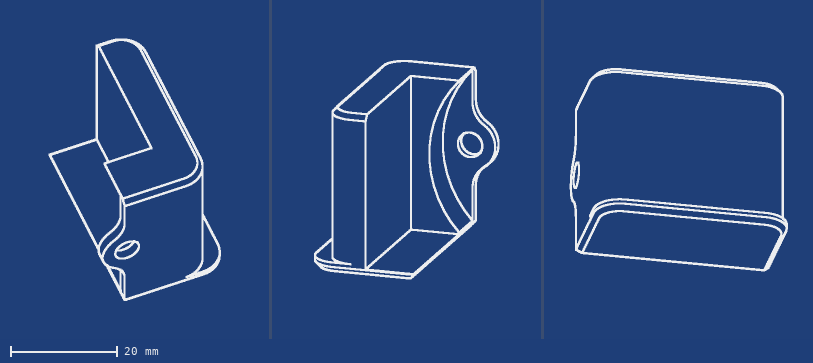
import cadquery as cq
import math

width = 37.0
height = 31.45
body_depth = 17.5
flange_depth = 20.98
flange_thickness = 2.0
corner_radius = 5.0
chamfer_inset = 1.0
chamfer_height = 1.1

pocket_width = 27.0
pocket_depth = 9.55
pocket_floor = 1.25

wall_thickness = 2.05
recess_depth = 5.92
recess_half_height = 14.87

lug_radius = 5.0
lug_center_y = 0.5
lug_center_z = 16.45
lug_blend_radius = 5.0
hole_diameter = 4.8


def rounded_slab(front, rear, slab_height):
    """Slab from Z = 0 to slab_height with its two rear corners rounded."""
    slab = cq.Workplane("XY", origin=(0, front, 0)).box(width, rear - front, slab_height, centered=False)
    return slab.edges("|Z and >Y").fillet(corner_radius)


def beveled_slab(front, rear, slab_height):
    """Rounded slab whose whole top rim is beveled, taller than it is wide."""
    straight = rounded_slab(front, rear, slab_height - chamfer_height)
    taper = math.degrees(math.atan2(chamfer_inset, chamfer_height))
    rim = straight.faces(">Z").wires().toPending().workplane()
    bevel = rim.extrude(chamfer_height, taper=taper, combine=False)
    return straight.union(bevel)


def make_body():
    """Block rising from a wider flange, beveled on its top; the flange is beveled below."""
    block = beveled_slab(-chamfer_inset, body_depth, height)
    trim = cq.Workplane("XY").box(width, body_depth, height - flange_thickness, centered=False)
    block = block.intersect(trim.translate((0, 0, flange_thickness)))
    flange = beveled_slab(0, flange_depth, flange_thickness)
    flange = flange.mirror("XY").translate((0, 0, flange_thickness))
    return block.union(flange)


def make_pocket():
    return (
        cq.Workplane("XY", origin=(0, 0, pocket_floor))
        .box(pocket_width, pocket_depth, height, centered=False)
    )


def make_recess():
    """Cylinder along X whose arc crosses the front face at the recess ends."""
    radius = (recess_half_height**2 + recess_depth**2) / (2 * recess_depth)
    return (
        cq.Workplane("YZ", origin=(pocket_width, 0, 0))
        .center(recess_depth - radius, lug_center_z)
        .circle(radius)
        .extrude(width - wall_thickness - pocket_width)
    )


def make_lug():
    """Round lug blended into the front face by an arc on each side."""
    center_distance = lug_radius + lug_blend_radius
    blend_y = -lug_blend_radius
    blend_z = math.sqrt(center_distance**2 - (lug_center_y - blend_y) ** 2)
    share = lug_radius / center_distance
    joint_y = lug_center_y + share * (blend_y - lug_center_y)
    joint_z = share * blend_z
    end_angle = math.atan2(joint_z - blend_z, joint_y - blend_y)
    middle_y = blend_y + lug_blend_radius * math.cos(end_angle / 2)
    middle_z = blend_z + lug_blend_radius * math.sin(end_angle / 2)
    return (
        cq.Workplane("YZ", origin=(width - wall_thickness, 0, lug_center_z))
        .moveTo(lug_center_y, blend_z)
        .lineTo(0, blend_z)
        .threePointArc((middle_y, middle_z), (joint_y, joint_z))
        .threePointArc((lug_center_y - lug_radius, 0), (joint_y, -joint_z))
        .threePointArc((middle_y, -middle_z), (0, -blend_z))
        .lineTo(lug_center_y, -blend_z)
        .close()
        .extrude(wall_thickness)
    )


def make_pin_hole():
    return (
        cq.Workplane("YZ", origin=(width - wall_thickness, lug_center_y, lug_center_z))
        .circle(hole_diameter / 2)
        .extrude(wall_thickness)
    )


result = make_body().cut(make_pocket()).cut(make_recess())
result = result.union(make_lug()).cut(make_pin_hole())